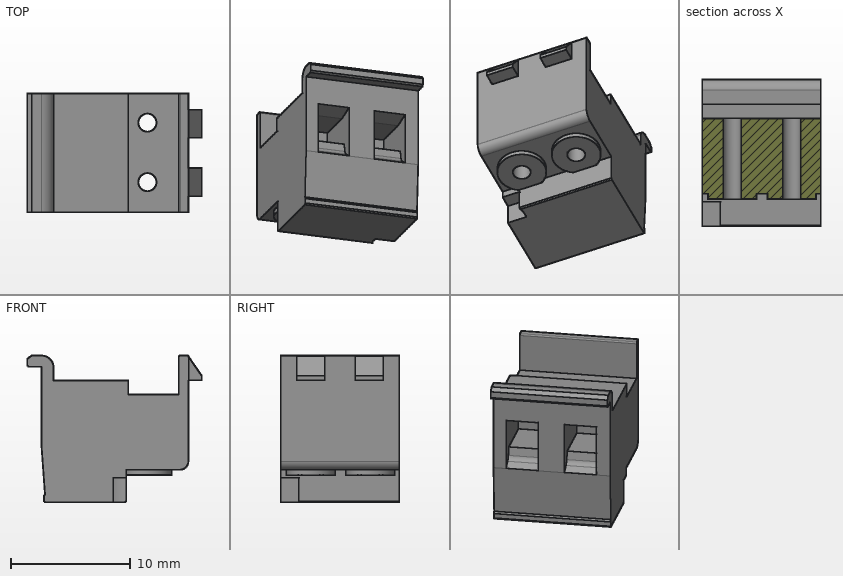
import cadquery as cq

width = 10.0
height = 12.35
length = 14.7
pole_pitch = width / 2
pole_offset = 0.05
pole_positions = (pole_offset - pole_pitch / 2, pole_offset + pole_pitch / 2)

front_face_x = 1.2
back_face_x = 13.57
back_wall_thickness = 0.82
deck_z = 10.26
deck_end_x = 8.53
screw_deck_z = 9.08
body_bottom_z = 2.73
body_bottom_radius = 0.74
wall_top_inner_radius = 0.12
wall_top_outer_radius = 0.09

lip_bottom_z = 11.38
lip_corner_x = 0.4
lip_corner_z = 0.3
lip_bottom_break = 0.15
lip_top_end_x = 1.2
lip_arc_end_z = 11.47
lip_back_x = 2.23

foot_back_x = 8.35
foot_edge_break = 0.12
taper_top_z = 4.76
taper_bottom_x = 1.5
bead_top_z = 0.69
bead_face_z = 0.51
bead_face_x = 1.41

window_width = 2.73
window_back_x = 6.62
window_top_z = 9.08
inner_ceiling_z = 8.73
ceiling_ramp_end_x = 2.94
ramp_end_x = 1.91
ramp_end_z = 5.15
curve_end_x = 2.25
curve_end_z = 5.54
sill_x = 2.41
sill_z = 6.23

screw_x = 10.11
screw_hole_diameter = 1.5
boss_radius = 2.06
boss_height = 0.44

tooth_width = 2.38
tooth_spacing = 4.91
tooth_tip_z = 10.7
tooth_tip_break = 0.06

notch_axis_x = 7.6
notch_radius = 1.7
notch_front_x = 7.23
notch_height = 2.06


def extrude_across(profile, y_center, y_width):
    """Turn an XZ sketch into a solid of the given width centred on y_center."""
    return profile.extrude(y_width / 2, both=True).translate((0, y_center, 0))


def make_body():
    wall_inner_x = back_face_x - back_wall_thickness
    profile = (
        cq.Workplane("XZ")
        .moveTo(foot_back_x - foot_edge_break, 0)
        .lineTo(bead_face_x + foot_edge_break, 0)
        .lineTo(bead_face_x, foot_edge_break)
        .lineTo(bead_face_x, bead_face_z)
        .lineTo(taper_bottom_x, bead_top_z)
        .lineTo(front_face_x, taper_top_z)
        .lineTo(front_face_x, lip_bottom_z)
        .lineTo(lip_bottom_break, lip_bottom_z)
        .lineTo(0, lip_bottom_z + lip_bottom_break)
        .lineTo(0, height - lip_corner_z)
        .lineTo(lip_corner_x, height)
        .lineTo(lip_top_end_x, height)
        .tangentArcPoint((lip_back_x, lip_arc_end_z), relative=False)
        .lineTo(lip_back_x, deck_z)
        .lineTo(deck_end_x, deck_z)
        .lineTo(deck_end_x, screw_deck_z)
        .lineTo(wall_inner_x, screw_deck_z)
        .lineTo(wall_inner_x, height - wall_top_inner_radius)
        .tangentArcPoint((wall_inner_x + wall_top_inner_radius, height), relative=False)
        .lineTo(back_face_x - wall_top_outer_radius, height)
        .tangentArcPoint((back_face_x, height - wall_top_outer_radius), relative=False)
        .lineTo(back_face_x, body_bottom_z + body_bottom_radius)
        .tangentArcPoint((back_face_x - body_bottom_radius, body_bottom_z), relative=False)
        .lineTo(foot_back_x, body_bottom_z)
        .lineTo(foot_back_x, foot_edge_break)
        .close()
    )
    return extrude_across(profile, 0, width)


def make_window(y_center):
    """Wire opening: ramped and curved floor up to a sill; ceiling ramps down, then runs level."""
    profile = (
        cq.Workplane("XZ")
        .moveTo(front_face_x, taper_top_z)
        .lineTo(ramp_end_x, ramp_end_z)
        .tangentArcPoint((curve_end_x, curve_end_z), relative=False)
        .lineTo(sill_x, sill_z)
        .lineTo(window_back_x, sill_z)
        .lineTo(window_back_x, inner_ceiling_z)
        .lineTo(ceiling_ramp_end_x, inner_ceiling_z)
        .lineTo(front_face_x, window_top_z)
        .close()
    )
    return extrude_across(profile, y_center, window_width)


def make_tooth(y_center):
    profile = (
        cq.Workplane("XZ")
        .moveTo(back_face_x - back_wall_thickness / 2, deck_z)
        .lineTo(length, deck_z)
        .lineTo(length, tooth_tip_z - tooth_tip_break)
        .lineTo(length - tooth_tip_break, tooth_tip_z)
        .lineTo(back_face_x, height - wall_top_outer_radius)
        .lineTo(back_face_x - back_wall_thickness / 2, height - wall_top_outer_radius)
        .close()
    )
    return extrude_across(profile, y_center, tooth_width)


def make_boss(y_center):
    """Round boss that hangs below the body and is rooted inside it by its own height."""
    return (
        cq.Workplane("XY", origin=(screw_x, y_center, body_bottom_z - boss_height))
        .circle(boss_radius)
        .extrude(2 * boss_height)
    )


def make_screw_hole(y_center):
    return (
        cq.Workplane("XY", origin=(screw_x, y_center, 0))
        .circle(screw_hole_diameter / 2)
        .extrude(height)
    )


def make_notch():
    """Upright cylinder with its axis on the -Y face, kept only behind notch_front_x."""
    cylinder = (
        cq.Workplane("XY", origin=(notch_axis_x, -width / 2, 0))
        .circle(notch_radius)
        .extrude(notch_height)
    )
    rear_part = cq.Workplane("XY").box(
        2 * notch_radius, width, notch_height, centered=(False, False, False)
    )
    return cylinder.intersect(rear_part.translate((notch_front_x, -width, 0)))


result = make_body().cut(make_notch())
for pole_y in pole_positions:
    result = result.union(make_boss(pole_y))
    result = result.cut(make_window(pole_y))
    result = result.cut(make_screw_hole(pole_y))
for tooth_y in (-tooth_spacing / 2, tooth_spacing / 2):
    result = result.union(make_tooth(tooth_y))